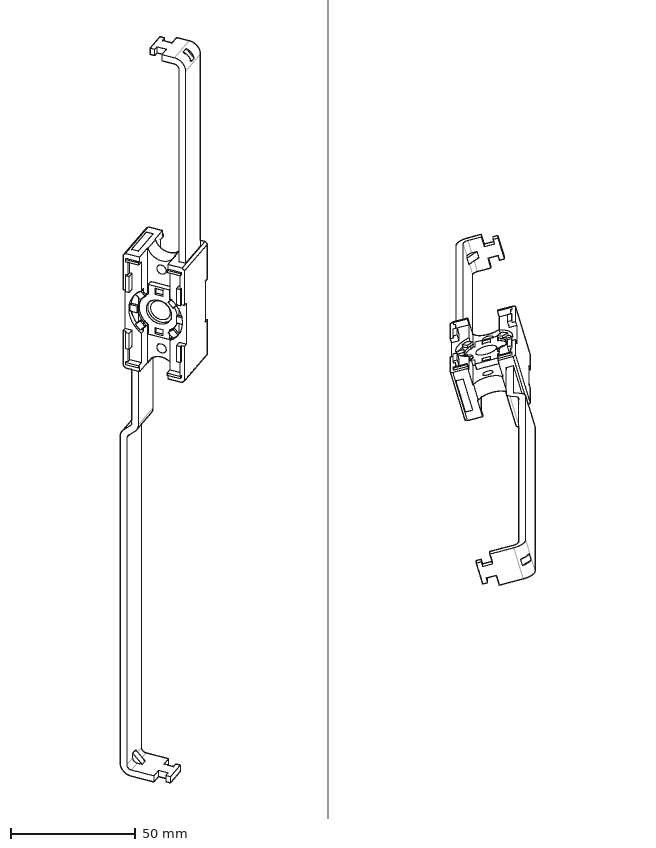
import cadquery as cq
import math


housing_width = 27.3
housing_height = 55.0
rail_inner_x = 6.3
rail_half_depth = 9.0
end_half_depth = 11.0
overall_depth = 23.5
half_width = housing_width / 2
half_height = housing_height / 2
bump_half_depth = overall_depth / 2
end_inner_z = 24.0
step_z = 9.8
rail_chamfer = 1.0

edge_strip_x = 11.5
bump_inner_x = 10.5
bump_outer_x = 12.2
bump_top_z = 17.5
lip_outer_z = 25.2

web_thickness = 7.0
scoop_radius = 6.3
scoop_floor_z = 23.0
screw_hole_diameter = 4.2
screw_hole_z = 19.0

hub_half_depth = 6.0
hub_radius = 8.8
seat_radius = 12.0
seat_half_depth = 7.0
bore_diameter = 8.8
counterbore_diameter = 11.2
counterbore_depth = 1.5
lug_angles = (-45, 0, 45, 135, 180, 225)
lug_width = 3.0
lug_height = 1.0
end_lug_width = 9.5
end_notch_width = 3.5
end_notch_length = 2.8
end_notch_depth = 1.0
end_notch_z = 9.5

strap_thickness = 3.0
strap_width = 14.0
upper_strap_x = 11.0
lower_strap_x = -10.0
bend_radius = 3.5
upper_strap_top = 124.5
upper_strap_tip_x = -4.5
lower_strap_bottom = -225.5
lower_strap_tip_x = 4.5
lower_strap_outer_x = -16.8
jog_top_z = -57.5
jog_bottom_z = -62.3
head_length = 2.0
neck_length = 4.2
neck_width = 5.2
head_width = 9.5

crease_leg = 4.2
crease_width = 2.8
dent_depth = 0.7


def centred_box(x_min, x_max, half_depth, z_min, z_max):
    """Box spanning the given X and Z ranges, symmetric about Y = 0."""
    return cq.Workplane("XY").box(
        x_max - x_min, 2 * half_depth, z_max - z_min
    ).translate(((x_min + x_max) / 2, 0, (z_min + z_max) / 2))


def disc(radius, y_min, y_max):
    """Cylinder about the hub axis between two Y positions."""
    return cq.Workplane("XZ", origin=(0, y_max, 0)).circle(radius).extrude(y_max - y_min)



def strip(path):
    """Flat strip of constant thickness following a bent centre line in the XZ plane."""
    corners = [cq.Vector(x, 0, z) for x, z in path]
    wire = cq.Wire.makePolygon(corners).fillet(bend_radius)
    start_x, start_z = path[0]
    section = cq.Workplane("XY", origin=(start_x, 0, start_z)).rect(strap_thickness, strap_width)
    return section.sweep(cq.Workplane(wire))


def cut_t_head(strap, tip_x, inward, arm_z):
    """Trim both edges of the arm so that a T-shaped head remains at the tip."""
    head_x = tip_x + inward * head_length
    shoulder_x = head_x + inward * neck_length
    for x_a, x_b, kept_width in (
        (tip_x, head_x, head_width),
        (head_x, shoulder_x, neck_width),
    ):
        trim_width = (strap_width - kept_width) / 2
        trim = cq.Workplane("XY").box(abs(x_b - x_a), trim_width, 2 * strap_thickness)
        offset_y = (strap_width - trim_width) / 2
        for side in (-1, 1):
            strap = strap.cut(trim.translate(((x_a + x_b) / 2, side * offset_y, arm_z)))
    return strap


def crease(corner_x, corner_z, direction_x, direction_z, leg):
    """Triangular prism filling a corner, with its legs along the two given directions."""
    return (
        cq.Workplane("XZ", origin=(0, crease_width / 2, 0))
        .moveTo(corner_x, corner_z)
        .lineTo(corner_x + direction_x * leg, corner_z)
        .lineTo(corner_x, corner_z + direction_z * leg)
        .close()
        .extrude(crease_width)
    )


def press_crease(strap, bend_x, bend_z, direction_x, direction_z):
    """Add the crease inside a bend and the matching dent outside it."""
    half = strap_thickness / 2
    inside = crease(
        bend_x + direction_x * half, bend_z + direction_z * half, direction_x, direction_z, crease_leg
    )
    outer_radius = bend_radius + half
    rounded_leg = outer_radius * (2 - math.sqrt(2))
    outside = crease(
        bend_x - direction_x * half,
        bend_z - direction_z * half,
        direction_x,
        direction_z,
        rounded_leg + dent_depth * math.sqrt(2),
    )
    return strap.union(inside).cut(outside)


def make_upper_strap():
    arm_z = upper_strap_top - strap_thickness / 2
    path = [(upper_strap_x, -half_height), (upper_strap_x, arm_z), (upper_strap_tip_x, arm_z)]
    strap = cut_t_head(strip(path), upper_strap_tip_x, 1, arm_z)
    return press_crease(strap, upper_strap_x, arm_z, -1, -1)


def make_lower_strap():
    arm_z = lower_strap_bottom + strap_thickness / 2
    leg_x = lower_strap_outer_x + strap_thickness / 2
    path = [
        (lower_strap_x, half_height),
        (lower_strap_x, jog_top_z),
        (leg_x, jog_bottom_z),
        (leg_x, arm_z),
        (lower_strap_tip_x, arm_z),
    ]
    strap = cut_t_head(strip(path), lower_strap_tip_x, -1, arm_z)
    return press_crease(strap, leg_x, arm_z, 1, 1)



def make_right_rail():
    """Rail with deeper ends, raised edge strips, grip bumps and lips."""
    rail = centred_box(rail_inner_x, half_width, rail_half_depth, -half_height, half_height)
    for z_min, z_max in ((end_inner_z, half_height), (-half_height, -end_inner_z)):
        rail = rail.union(centred_box(rail_inner_x, half_width, end_half_depth, z_min, z_max))
    for z_min, z_max in ((step_z, half_height), (-half_height, -step_z)):
        rail = rail.union(centred_box(edge_strip_x, half_width, end_half_depth, z_min, z_max))
    rail = rail.edges("|Y and >X").edges(">Z or <Z").chamfer(rail_chamfer)
    for z_min, z_max in ((step_z, bump_top_z), (-bump_top_z, -step_z)):
        rail = rail.union(centred_box(bump_inner_x, bump_outer_x, bump_half_depth, z_min, z_max))
    for z_min, z_max in ((end_inner_z, lip_outer_z), (-lip_outer_z, -end_inner_z)):
        rail = rail.union(centred_box(rail_inner_x, bump_outer_x, bump_half_depth, z_min, z_max))
    return rail


def make_web():
    """Plate between the rails with a scoop in each end and two screw holes."""
    web = centred_box(-rail_inner_x, rail_inner_x, web_thickness / 2, -half_height, half_height)
    scoop = disc(scoop_radius, -web_thickness, web_thickness)
    screw_hole = disc(screw_hole_diameter / 2, -web_thickness, web_thickness)
    for side in (-1, 1):
        web = web.cut(scoop.translate((0, 0, side * (scoop_floor_z + scoop_radius))))
        web = web.cut(screw_hole.translate((0, 0, side * screw_hole_z)))
    return web


def add_hub(body):
    """Sink a round seat into both faces, with a deeper hub disc, and add the lugs around it."""
    for side in (-1, 1):
        y_near, y_far = sorted((side * seat_half_depth, side * end_half_depth))
        body = body.cut(disc(seat_radius, y_near, y_far))
        y_near, y_far = sorted((side * hub_half_depth, side * end_half_depth))
        body = body.cut(disc(hub_radius, y_near, y_far))
    body = body.union(disc(hub_radius, -hub_half_depth, hub_half_depth))
    return add_seat_lugs(add_end_lugs(body))


def add_end_lugs(body):
    """Wide lugs above and below the hub, each with a notch in both faces."""
    half_length = end_lug_width / 2
    body = body.union(
        centred_box(-half_length, half_length, hub_half_depth, -seat_radius, seat_radius).cut(
            disc(hub_radius, -hub_half_depth, hub_half_depth)
        )
    )
    notch = cq.Workplane("XY").box(end_notch_width, 2 * end_notch_depth, end_notch_length)
    for side_y in (-1, 1):
        for side_z in (-1, 1):
            body = body.cut(notch.translate((0, side_y * hub_half_depth, side_z * end_notch_z)))
    return body


def add_seat_lugs(body):
    """Radial lugs standing on the ring-shaped floor of the seat, on the rails only."""
    lug_length = seat_radius - hub_radius
    lug = cq.Workplane("XY").box(lug_length, lug_height, lug_width)
    for side in (-1, 1):
        lug_y = seat_half_depth + lug_height / 2
        placed = lug.translate(((hub_radius + seat_radius) / 2, side * lug_y, 0))
        for angle in lug_angles:
            body = body.union(placed.rotate((0, 0, 0), (0, 1, 0), angle))
    return body


def strap_slot(strap_x):
    """Slot through the full height of a rail, fitting one strap."""
    half_thickness = strap_thickness / 2
    return centred_box(
        strap_x - half_thickness, strap_x + half_thickness, strap_width / 2, -half_height, half_height
    )


def make_housing():
    right_rail = make_right_rail()
    body = make_web().union(right_rail).union(right_rail.mirror("YZ"))
    body = add_hub(body)
    body = body.cut(disc(bore_diameter / 2, -end_half_depth, end_half_depth))
    counterbore = disc(
        counterbore_diameter / 2, -hub_half_depth, -hub_half_depth + counterbore_depth
    )
    return body.cut(counterbore).cut(strap_slot(upper_strap_x)).cut(strap_slot(lower_strap_x))


housing = make_housing()
upper_strap = make_upper_strap()
lower_strap = make_lower_strap()

result = cq.Compound.makeCompound([housing.val(), upper_strap.val(), lower_strap.val()])